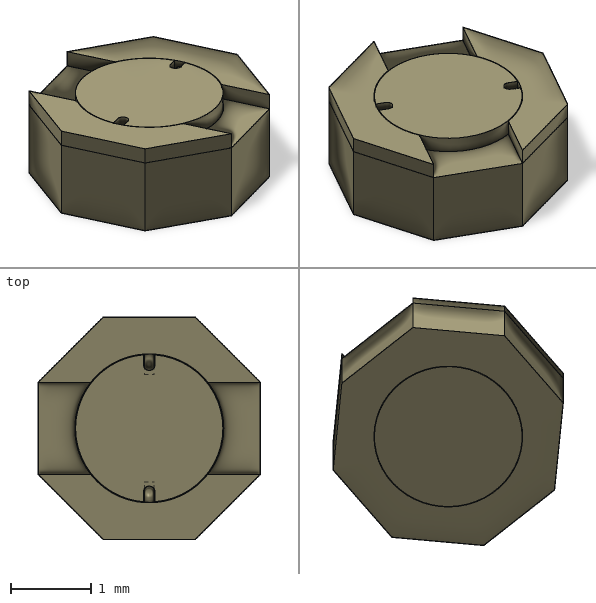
import cadquery as cq
import math

WIDTH = 2.78
OCTAGON_SIDES = 8
HALF_SIDE_DEGREES = 180 / OCTAGON_SIDES
HALF_SIDE_ANGLE = math.radians(HALF_SIDE_DEGREES)
HEIGHT = 1.16
SIDE = WIDTH * math.tan(HALF_SIDE_ANGLE)
WING_HEIGHT = 0.2
BASE_HEIGHT = HEIGHT - WING_HEIGHT

BORE_RADIUS = 0.929
CORE_GAP = 0.005
CORE_RADIUS = BORE_RADIUS - CORE_GAP

WIRE_RADIUS = 0.06
BEND_RADIUS = 0.072
DROP_RADIUS = 0.812
UPPER_RUN_Z = BASE_HEIGHT + WIRE_RADIUS
LOWER_RUN_Z = UPPER_RUN_Z - 2 * BEND_RADIUS
SOCKET_DEPTH = 0.07
LOWER_RUN_END = DROP_RADIUS - BEND_RADIUS - SOCKET_DEPTH

SLOT_WIDTH = 0.142
SLOT_INNER_RADIUS = 0.723
SLOT_BOTTOM = LOWER_RUN_Z - WIRE_RADIUS
SLOT_DEPTH = HEIGHT - SLOT_BOTTOM

SIDE_ANGLES = (0, 180)


def octagon_prism(height, bottom_z):
    """Octagonal prism with flats facing +-X and +-Y."""
    corner_diameter = WIDTH / math.cos(HALF_SIDE_ANGLE)
    return (
        cq.Workplane("XY", origin=(0, 0, bottom_z))
        .transformed(rotate=(0, 0, HALF_SIDE_DEGREES))
        .polygon(OCTAGON_SIDES, corner_diameter)
        .extrude(height)
    )


def bore(height, bottom_z):
    return cq.Workplane("XY", origin=(0, 0, bottom_z)).circle(BORE_RADIUS).extrude(height)


def turned(body, angle):
    """Copy of a body turned about the core axis."""
    return body.rotate((0, 0, 0), (0, 0, 1), angle)


def make_base():
    return octagon_prism(BASE_HEIGHT, 0).cut(bore(BASE_HEIGHT, 0))


def make_wing():
    """Raised block on the +Y side of the base; the strip between the wings stays open."""
    wing_depth = (WIDTH - SIDE) / 2
    side_block = (
        cq.Workplane("XY", origin=(0, SIDE / 2 + wing_depth / 2, BASE_HEIGHT))
        .rect(WIDTH, wing_depth)
        .extrude(WING_HEIGHT)
    )
    wing = octagon_prism(WING_HEIGHT, BASE_HEIGHT).intersect(side_block)
    return wing.cut(bore(WING_HEIGHT, BASE_HEIGHT))


def make_wire():
    """Z-bent round wire on the +Y side, from the bore wall into the core."""
    bend_z = UPPER_RUN_Z - BEND_RADIUS
    path = (
        cq.Workplane("YZ")
        .moveTo(BORE_RADIUS, UPPER_RUN_Z)
        .lineTo(DROP_RADIUS + BEND_RADIUS, UPPER_RUN_Z)
        .radiusArc((DROP_RADIUS, bend_z), -BEND_RADIUS)
        .radiusArc((DROP_RADIUS - BEND_RADIUS, LOWER_RUN_Z), BEND_RADIUS)
        .lineTo(LOWER_RUN_END, LOWER_RUN_Z)
    )
    wire = (
        cq.Workplane("XZ", origin=(0, BORE_RADIUS, UPPER_RUN_Z))
        .circle(WIRE_RADIUS)
        .sweep(path)
    )
    return wire.intersect(bore(HEIGHT, 0))


def make_slot():
    """Round-ended slot cutter on the +Y side, open through the core rim."""
    end_center = SLOT_INNER_RADIUS + SLOT_WIDTH / 2
    slot_end = (
        cq.Workplane("XY", origin=(0, end_center, SLOT_BOTTOM))
        .circle(SLOT_WIDTH / 2)
        .extrude(SLOT_DEPTH)
    )
    length = BORE_RADIUS - end_center
    channel = (
        cq.Workplane("XY", origin=(0, end_center + length / 2, SLOT_BOTTOM))
        .rect(SLOT_WIDTH, length)
        .extrude(SLOT_DEPTH)
    )
    return slot_end.union(channel)


def make_core(wires):
    """Round core with two slots, plus sockets matching the inner ends of the wires."""
    core = cq.Workplane("XY").circle(CORE_RADIUS).extrude(HEIGHT)
    slot = make_slot()
    for angle in SIDE_ANGLES:
        core = core.cut(turned(slot, angle))
    for wire in wires:
        core = core.cut(wire)
    return core


wing_shape = make_wing()
wire_shape = make_wire()

base = make_base()
wings = [turned(wing_shape, angle) for angle in SIDE_ANGLES]
wires = [turned(wire_shape, angle) for angle in SIDE_ANGLES]
core = make_core(wires)

bodies = [base, core, *wings, *wires]
result = cq.Compound.makeCompound([body.solids().val() for body in bodies])